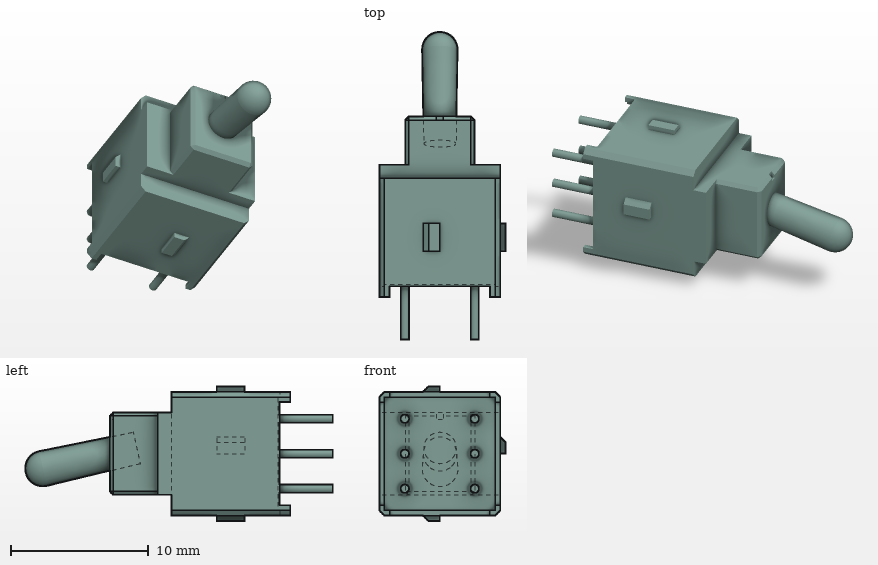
import cadquery as cq
import math


SHELL_WIDTH = 8.8
SHELL_HEIGHT = 9.0
SHELL_LENGTH = 7.86
WALL = 0.38
EDGE_CHAMFER = 0.38

FOOT_LENGTH = 0.79
FOOT_SPAN = 0.76

SHOULDER_LENGTH = 0.98
BUSHING_WIDTH = 5.05
BUSHING_HEIGHT = 6.0
BUSHING_LENGTH = 3.5
BUSHING_CHAMFER = 0.26
SHOULDER_FRONT = SHELL_LENGTH + SHOULDER_LENGTH
BUSHING_FRONT = SHOULDER_FRONT + BUSHING_LENGTH

NOTCH_WIDTH = 0.5
NOTCH_DEPTH = 0.5

NUB_HEIGHT_X = 0.39
NUB_HEIGHT_Z = 0.4
NUB_WIDTH = 1.22
NUB_LENGTH = 2.03
NUB_START = 2.54

BASE_RECESS = 0.15
PIN_DIAMETER = 0.61
PIN_TIP = -3.87
PIN_PITCH = 2.54
PIN_ROW_SPACING = 2 * PIN_PITCH

LEVER_TILT = 12.5
LEVER_TIP_RADIUS = 1.3
LEVER_FACE_RADIUS = 1.21
LEVER_REACH = 4.97
LEVER_INSERTION = 2.0


def block(width, height, y_start, y_end):
    """Box centred on X and Z between two Y positions."""
    length = y_end - y_start
    return cq.Workplane("XY").box(width, length, height).translate((0, y_start + length / 2, 0))


def nub(height):
    """Nub rising along +Z from Z = 0, with its -X edge sloped and its +X side at X = 0."""
    outline = [(0, 0), (0, height), (-NUB_WIDTH + height, height), (-NUB_WIDTH, 0)]
    return (
        cq.Workplane("XZ", origin=(0, NUB_START, 0))
        .polyline(outline)
        .close()
        .extrude(-NUB_LENGTH)
    )


def make_lever():
    """Tapered stick with a ball tip; its inner end sits in the bushing."""
    taper = (LEVER_TIP_RADIUS - LEVER_FACE_RADIUS) / LEVER_REACH
    inner_radius = LEVER_FACE_RADIUS - taper * LEVER_INSERTION
    arc_offset = LEVER_TIP_RADIUS * math.sqrt(0.5)
    profile = (
        cq.Workplane("XY")
        .moveTo(0, -LEVER_INSERTION)
        .lineTo(inner_radius, -LEVER_INSERTION)
        .lineTo(LEVER_TIP_RADIUS, LEVER_REACH)
        .threePointArc((arc_offset, LEVER_REACH + arc_offset), (0, LEVER_REACH + LEVER_TIP_RADIUS))
        .close()
    )
    stick = profile.revolve(360, (0, 0, 0), (0, 1, 0))
    return stick.rotate((0, 0, 0), (1, 0, 0), -LEVER_TILT).translate((0, BUSHING_FRONT, 0))


def make_base():
    """Block that fills the shell cavity, with two rows of three pins."""
    body = block(SHELL_WIDTH - 2 * WALL, SHELL_HEIGHT - 2 * WALL, BASE_RECESS, SHELL_LENGTH)
    pins = (
        cq.Workplane("XZ", origin=(0, BASE_RECESS, 0))
        .rarray(PIN_ROW_SPACING, PIN_PITCH, 2, 3)
        .circle(PIN_DIAMETER / 2)
        .extrude(BASE_RECESS - PIN_TIP)
    )
    return body.union(pins)


def make_shell():
    """Chamfered tube whose rear end is cut away between the four corner feet."""
    shell = block(SHELL_WIDTH, SHELL_HEIGHT, -FOOT_LENGTH, SHELL_LENGTH).edges("|Y").chamfer(EDGE_CHAMFER)
    cavity = block(SHELL_WIDTH - 2 * WALL, SHELL_HEIGHT - 2 * WALL, -FOOT_LENGTH, SHELL_LENGTH)
    side_gap = block(SHELL_WIDTH, SHELL_HEIGHT - 2 * FOOT_SPAN, -FOOT_LENGTH, 0)
    top_gap = block(SHELL_WIDTH - 2 * FOOT_SPAN, SHELL_HEIGHT, -FOOT_LENGTH, 0)
    return shell.cut(cavity).cut(side_gap).cut(top_gap)


def make_bushing():
    """Chamfered block around the lever, with a small notch in its upper front edge."""
    bushing = (
        block(BUSHING_WIDTH, BUSHING_HEIGHT, SHOULDER_FRONT, BUSHING_FRONT)
        .edges("|Y or >Y")
        .chamfer(BUSHING_CHAMFER)
    )
    notch = (
        block(NOTCH_WIDTH, NOTCH_DEPTH, BUSHING_FRONT - BUSHING_CHAMFER, BUSHING_FRONT)
        .translate((0, 0, (BUSHING_HEIGHT - NOTCH_DEPTH) / 2))
    )
    return bushing.cut(notch)


def make_housing(lever):
    """Shell, shoulder, bushing and nubs as one body, with a socket that matches the lever."""
    shoulder = block(SHELL_WIDTH, BUSHING_HEIGHT, SHELL_LENGTH, SHOULDER_FRONT)
    top_nub = nub(NUB_HEIGHT_Z).translate((0, 0, SHELL_HEIGHT / 2))
    bottom_nub = top_nub.mirror("XY")
    side_nub = nub(NUB_HEIGHT_X).rotate((0, 0, 0), (0, 1, 0), 90).translate((SHELL_WIDTH / 2, 0, 0))
    housing = make_shell().union(shoulder).union(make_bushing())
    for feature in (top_nub, bottom_nub, side_nub):
        housing = housing.union(feature)
    return housing.cut(lever)


lever = make_lever()
base = make_base()
housing = make_housing(lever)

result = cq.Compound.makeCompound([*housing.solids().vals(), *base.solids().vals(), lever.val()])